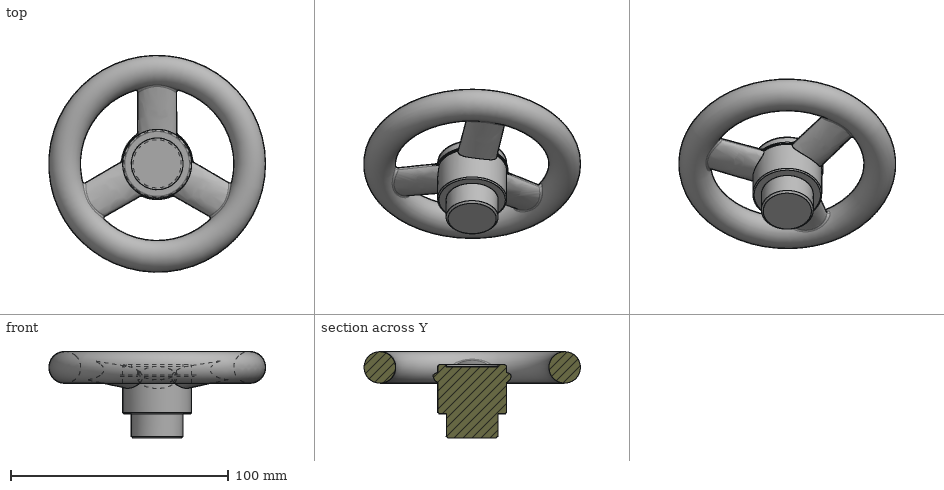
import cadquery as cq
import math

outer_diameter = 99.9
rim_tube_diameter = 14.7
total_height = 40.0
rim_path_radius = (outer_diameter - rim_tube_diameter) / 2
rim_center_z = total_height - rim_tube_diameter / 2

hub_diameter = 31.8
hub_bottom_z = 11.2
hub_top_z = 34.0
hub_top_fillet = 1.0
hub_bottom_chamfer = 0.6
shank_diameter = 24.0
shank_chamfer = 0.9
recess_diameter = 23.8
recess_depth = 1.0

spoke_count = 3
first_spoke_angle = 90.0
spoke_angles = [first_spoke_angle + index * 360 / spoke_count for index in range(spoke_count)]
spoke_inner_radius = 12.0
spoke_outer_radius = 40.0
spoke_inner_width = 18.2
spoke_outer_width = 17.9
spoke_inner_mid_z = 28.0
spoke_outer_mid_z = 32.1
spoke_height_above_mid = 4.5
spoke_inner_height_below_mid = 5.8
spoke_outer_height_below_mid = 4.6
rim_joint_fillet = 1.0
rim_joint_search_radius = 30.0

collar_diameter = 33.0
collar_thickness = 0.8
collar_top_z = 29.2
collar_arm_length = 18.5
collar_arm_width = 18.0
spoke_corner_fillet = 2.0


def make_rim():
    """Ring of round section around the Z axis."""
    center = cq.Vector(0, 0, rim_center_z)
    return cq.Workplane(cq.Solid.makeTorus(rim_path_radius, rim_tube_diameter / 2, center))


def make_hub():
    """Stepped hub without its top recess."""
    shank = cq.Workplane("XY").circle(shank_diameter / 2).extrude(hub_bottom_z)
    shank = shank.faces("<Z").chamfer(shank_chamfer)
    body = cq.Workplane("XY").workplane(offset=hub_bottom_z).circle(hub_diameter / 2)
    body = body.extrude(hub_top_z - hub_bottom_z)
    body = body.faces("<Z").chamfer(hub_bottom_chamfer)
    body = body.faces(">Z").edges().fillet(hub_top_fillet)
    return shank.union(body)


def spoke_section(radius, width, mid_z, height_below_mid):
    """Section made of two half ellipses, across a spoke lying along X."""
    center = cq.Vector(radius, 0, mid_z)
    along = cq.Vector(1, 0, 0)
    across = cq.Vector(0, 1, 0)
    upper = cq.Edge.makeEllipse(width / 2, spoke_height_above_mid, center, along, across, 0, 180)
    lower = cq.Edge.makeEllipse(width / 2, height_below_mid, center, along, across, 180, 360)
    return cq.Wire.assembleEdges([upper, lower])


def make_spoke():
    """Tapered spoke along X, with both ends buried in the hub and the rim."""
    inner = spoke_section(
        spoke_inner_radius, spoke_inner_width, spoke_inner_mid_z, spoke_inner_height_below_mid
    )
    outer = spoke_section(
        spoke_outer_radius, spoke_outer_width, spoke_outer_mid_z, spoke_outer_height_below_mid
    )
    return cq.Workplane(cq.Solid.makeLoft([inner, outer], True))


def make_collar():
    """Thin plate with a round outline that runs into the spokes through small inside fillets."""
    plate = cq.Workplane("XY").circle(collar_diameter / 2).extrude(collar_thickness)
    for angle in spoke_angles:
        arm = cq.Workplane("XY").rect(collar_arm_length, collar_arm_width).extrude(collar_thickness)
        arm = arm.translate((collar_arm_length / 2, 0, 0))
        plate = plate.union(arm.rotate((0, 0, 0), (0, 0, 1), angle))
    inside_corners = [
        edge for edge in plate.edges("|Z").vals()
        if math.hypot(edge.Center().x, edge.Center().y) < collar_arm_length
    ]
    collar = plate.newObject(inside_corners).fillet(spoke_corner_fillet)
    return collar.translate((0, 0, collar_top_z - collar_thickness))


def make_rim_joint_fillets(body):
    """Blend the spokes into the rim."""
    joints = [
        edge for edge in body.edges("not %CIRCLE").vals()
        if rim_joint_search_radius < math.hypot(edge.Center().x, edge.Center().y)
    ]
    return body.newObject(joints).fillet(rim_joint_fillet)


result = make_hub().union(make_rim())
for spoke_angle in spoke_angles:
    result = result.union(make_spoke().rotate((0, 0, 0), (0, 0, 1), spoke_angle))
result = make_rim_joint_fillets(result)
result = result.union(make_collar())

recess = cq.Workplane("XY").workplane(offset=hub_top_z - recess_depth).circle(recess_diameter / 2)
result = result.cut(recess.extrude(recess_depth))